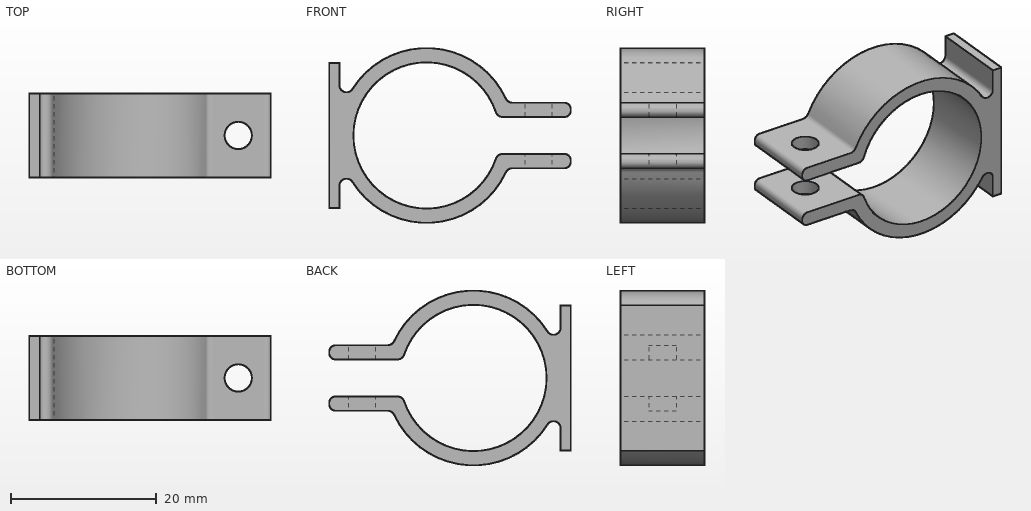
import cadquery as cq
import math

length = 33.15
width = 11.53
outer_radius = 12.0
wall = 2.0
inner_radius = outer_radius - wall

plate_height = 19.9
plate_thickness = 1.43
plate_back = -13.35
plate_front = plate_back + plate_thickness
plate_fillet = 0.95

tab_end = plate_back + length
gap = 5.05
tab_inner = gap / 2
tab_outer = tab_inner + wall
tab_end_fillet = 0.9
root_fillet = 1.0
mouth_fillet = 1.0
hole_diameter = 3.7
hole_x = 15.3


def block(x_min, x_max, z_min, z_max):
    """Full-width block spanning the given X and Z ranges."""
    return (
        cq.Workplane("XY")
        .box(x_max - x_min, width, z_max - z_min)
        .translate(((x_min + x_max) / 2, 0, (z_min + z_max) / 2))
    )


def cylinder(radius):
    """Full-width cylinder about the ring axis."""
    return cq.Workplane("XZ").circle(radius).extrude(width / 2, both=True)


def plate_neck():
    """Web joining plate and ring, with concave arcs tangent to both."""
    arc_x = plate_front + plate_fillet
    reach = outer_radius + plate_fillet
    arc_z = math.sqrt(reach**2 - arc_x**2)
    ring_touch_x = arc_x * outer_radius / reach
    ring_touch_z = arc_z * outer_radius / reach

    plate_angle = math.pi
    ring_angle = 2 * math.pi + math.atan2(-arc_z, -arc_x)
    middle_angle = (plate_angle + ring_angle) / 2
    middle_x = arc_x + plate_fillet * math.cos(middle_angle)
    middle_z = arc_z + plate_fillet * math.sin(middle_angle)

    return (
        cq.Workplane("XZ")
        .moveTo(plate_front, -arc_z)
        .lineTo(plate_front, arc_z)
        .threePointArc((middle_x, middle_z), (ring_touch_x, ring_touch_z))
        .lineTo(ring_touch_x, -ring_touch_z)
        .threePointArc((middle_x, -middle_z), (plate_front, -arc_z))
        .close()
        .extrude(width / 2, both=True)
    )


def fillet_pair(body, x, z, radius):
    """Round the mirrored pair of full-width edges at X and +/-Z."""
    for edge_z in (z, -z):
        nearest = cq.selectors.NearestToPointSelector((x, 0, edge_z))
        body = body.edges("|Y").edges(nearest).fillet(radius)
    return body


body = cylinder(outer_radius).union(block(0, tab_end, -tab_outer, tab_outer))
body = body.union(plate_neck())
body = body.union(block(plate_back, plate_front, -plate_height / 2, plate_height / 2))
body = body.cut(cylinder(inner_radius))
body = body.cut(block(0, tab_end, -tab_inner, tab_inner))

body = fillet_pair(body, tab_end, tab_inner, tab_end_fillet)
body = fillet_pair(body, tab_end, tab_outer, tab_end_fillet)
root_x = math.sqrt(outer_radius**2 - tab_outer**2)
body = fillet_pair(body, root_x, tab_outer, root_fillet)
mouth_x = math.sqrt(inner_radius**2 - tab_inner**2)
body = fillet_pair(body, mouth_x, tab_inner, mouth_fillet)

screw_hole = (
    cq.Workplane("XY").center(hole_x, 0).circle(hole_diameter / 2).extrude(tab_outer, both=True)
)
result = body.cut(screw_hole)